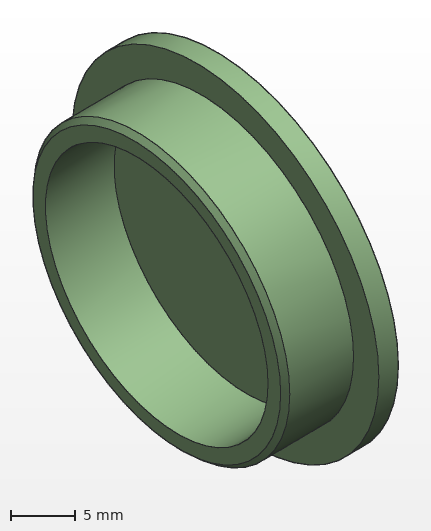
import cadquery as cq

flange_diameter = 36.4
flange_thickness = 2.0
sleeve_diameter = 30.4
sleeve_length = 7.0
wall_thickness = 2.0
lead_in_chamfer = 0.5

bore_diameter = sleeve_diameter - 2 * wall_thickness
bore_depth = sleeve_length


def disc(diameter, y_start, length):
    """Solid cylinder about the Y axis, growing from y_start toward +Y."""
    plane = cq.Workplane("XZ", origin=(0, y_start, 0))
    return plane.circle(diameter / 2).extrude(-length)


def make_sleeve():
    """Plug body with a chamfered outer edge at its open end."""
    return disc(sleeve_diameter, 0, sleeve_length).faces("<Y").edges().chamfer(lead_in_chamfer)


flange = disc(flange_diameter, sleeve_length, flange_thickness)
bore = disc(bore_diameter, 0, bore_depth)

result = make_sleeve().union(flange).cut(bore)